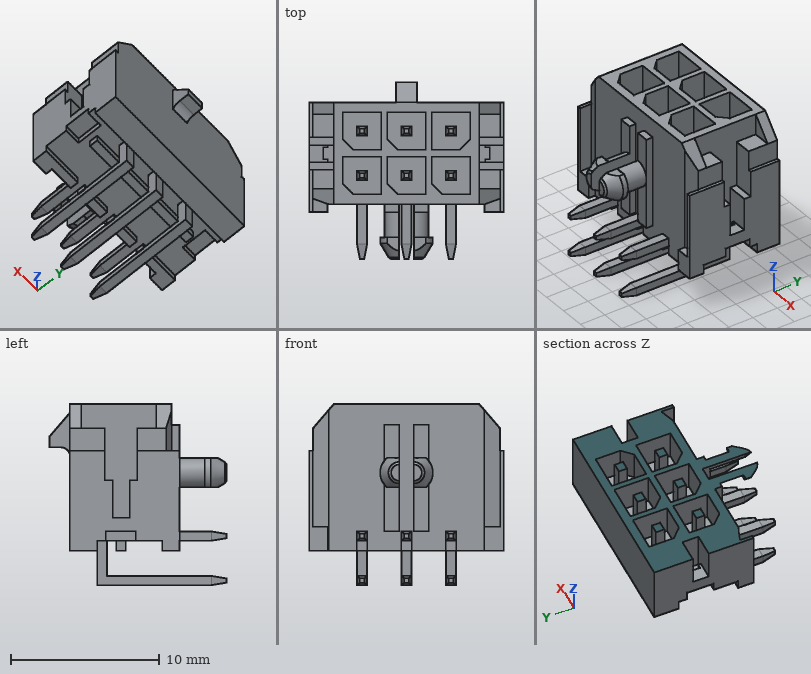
import cadquery as cq
import math


PITCH = 3.0
COLUMNS = (-PITCH, 0.0, PITCH)
ROWS = (PITCH / 2, -PITCH / 2)
PIN_WIDTH = 0.70
PIN_THICK = 0.64
TIP_LENGTH = 1.03
TIP_SIZE = 0.30
TAIL_END_Y = -7.14
LOWER_TAIL_Z = -2.32
LEG_BACK_Y = 1.60
LEG_DEPTH = 0.69
CONTACT_TOP_Z = 7.90

CORE_HALF_WIDTH = 4.90
HOUSING_HALF_DEPTH = 3.44
HOUSING_HEIGHT = 9.92
WING_HALF_WIDTH = 6.31
WING_HEIGHT = 8.28
BACK_GUSSET_DEPTH = 0.79
FRONT_GUSSET_DEPTH = 1.05
WING_BEVEL_X = 1.05
WING_BEVEL_Y = 0.38
CHANNEL_HEIGHT = 0.68
CHANNEL_BACK_Y = LEG_BACK_Y
CHANNEL_FRONT_Y = -2.80

PLATE_HALF_WIDTH = 13.15 / 2
PLATE_HEIGHT = 6.77
PLATE_FRONT_Y = -3.97
FOOT_HEIGHT = 1.64
FOOT_INNER_LEFT = -5.32
FOOT_INNER_RIGHT = WING_HALF_WIDTH - WING_BEVEL_X

SLOT_BACK_Y = 1.07
SLOT_FRONT_Y = -1.10
SLOT_FLOOR_Z = 4.76
NARROW_BACK_Y = 0.545
NARROW_FRONT_Y = -0.61
NARROW_FLOOR_Z = 2.24
NAIL_SHOULDER_X = 5.32
NAIL_HEAD_X = 5.63
NAIL_HEAD_HALF = 0.40
NAIL_DEPTH = 0.50
NOTCH_HALF_DEPTH = 1.0
NOTCH_TOP_Z = 1.31

CAVITY_WIDTH = 2.58
CAVITY_DEPTH = 2.52
CAVITY_CHAMFER = 0.70
CAVITY_FLOOR_Z = NARROW_FLOOR_Z

STANDOFF_BACK_Y = 0.31
STANDOFF_FRONT_Y = -0.34

LATCH_WIDTH = 1.43
LATCH_END_Y = 4.81
LATCH_RAMP_TOP_Z = 9.31
LATCH_NOSE_TOP_Z = 7.72
LATCH_NOSE_BOTTOM_Z = 6.98
LATCH_FILLET_START_Y = 4.06
LATCH_ROOT_Z = 6.55

SPLIT_HALF = 0.49
PEG_RADIUS = 1.0
RIB_WIDTH = PEG_RADIUS
RIB_FRONT_Y = PLATE_FRONT_Y
RIB_BOTTOM_Z = 1.32
RIB_TOP_Z = 8.51
PEG_Z = 5.28
PEG_HEAD_RADIUS = 1.29
PEG_HEAD_Y = -5.68
PEG_CONE_Y = -6.08
PEG_NOSE_Y = -7.01
PEG_NOSE_RADIUS = 0.73
PEG_FACE_RADIUS = 0.55


def block(x0, x1, y0, y1, z0, z1):
    """Axis-aligned box between the given limits."""
    return cq.Workplane("XY").box(x1 - x0, y1 - y0, z1 - z0, centered=False).translate((x0, y0, z0))


def both_sides(shape):
    """The shape together with its mirror image across the YZ plane."""
    return shape.union(shape.mirror("YZ"))


def gusset(y_front, y_back):
    """Slab as wide as the wings, sloping up to the top of the core."""
    half_outline = [
        (0, 0),
        (WING_HALF_WIDTH, 0),
        (WING_HALF_WIDTH, WING_HEIGHT),
        (CORE_HALF_WIDTH, HOUSING_HEIGHT),
        (0, HOUSING_HEIGHT),
    ]
    slab = cq.Workplane("XZ", origin=(0, y_back, 0)).polyline(half_outline).close().extrude(y_back - y_front)
    return both_sides(slab)


def wing_bevel():
    """Wedge removed from the front vertical corner of the right wing."""
    corner = [
        (WING_HALF_WIDTH, -HOUSING_HALF_DEPTH),
        (WING_HALF_WIDTH, -HOUSING_HALF_DEPTH + WING_BEVEL_Y),
        (WING_HALF_WIDTH - WING_BEVEL_X, -HOUSING_HALF_DEPTH),
    ]
    return cq.Workplane("XY").polyline(corner).close().extrude(HOUSING_HEIGHT)


def side_slot():
    """Stepped slot, blind nail pocket in its floor and bottom notch of the right side."""
    wide = block(CORE_HALF_WIDTH, PLATE_HALF_WIDTH, SLOT_FRONT_Y, SLOT_BACK_Y, SLOT_FLOOR_Z, HOUSING_HEIGHT)
    narrow = block(
        CORE_HALF_WIDTH, PLATE_HALF_WIDTH, NARROW_FRONT_Y, NARROW_BACK_Y, NARROW_FLOOR_Z, SLOT_FLOOR_Z
    )
    pocket_floor_z = NARROW_FLOOR_Z - NAIL_DEPTH
    nail_body = block(
        CORE_HALF_WIDTH, NAIL_SHOULDER_X, NARROW_FRONT_Y, NARROW_BACK_Y, pocket_floor_z, NARROW_FLOOR_Z
    )
    nail_head = block(
        NAIL_SHOULDER_X, NAIL_HEAD_X, -NAIL_HEAD_HALF, NAIL_HEAD_HALF, pocket_floor_z, NARROW_FLOOR_Z
    )
    notch = block(
        NAIL_SHOULDER_X, PLATE_HALF_WIDTH, -NOTCH_HALF_DEPTH, NOTCH_HALF_DEPTH, CHANNEL_HEIGHT, NOTCH_TOP_Z
    )
    return wide.union(narrow).union(nail_body).union(nail_head).union(notch)


def cavity(x, y, chamfer_side):
    """Contact cavity with one front corner cut off, on the -X (-1) or +X (+1) side."""
    corner_side = "<X" if chamfer_side < 0 else ">X"
    depth = HOUSING_HEIGHT - CAVITY_FLOOR_Z
    return (
        cq.Workplane("XY", origin=(x, y, CAVITY_FLOOR_Z))
        .rect(CAVITY_WIDTH, CAVITY_DEPTH)
        .extrude(depth)
        .edges("|Z")
        .edges("<Y")
        .edges(corner_side)
        .chamfer(CAVITY_CHAMFER)
    )


def housing():
    """Moulded body without latch, ribs and peg."""
    depth = HOUSING_HALF_DEPTH
    body = block(-CORE_HALF_WIDTH, CORE_HALF_WIDTH, -depth, depth, 0, HOUSING_HEIGHT)
    body = body.union(block(-WING_HALF_WIDTH, WING_HALF_WIDTH, -depth, depth, 0, WING_HEIGHT))
    body = body.union(gusset(depth - BACK_GUSSET_DEPTH, depth))
    body = body.union(gusset(-depth, -depth + FRONT_GUSSET_DEPTH))
    body = body.cut(both_sides(wing_bevel()))

    plate = block(WING_HALF_WIDTH, PLATE_HALF_WIDTH, PLATE_FRONT_Y, depth, 0, PLATE_HEIGHT)
    foot_back_y = -depth + WING_BEVEL_Y
    right_foot = block(FOOT_INNER_RIGHT, PLATE_HALF_WIDTH, PLATE_FRONT_Y, foot_back_y, 0, FOOT_HEIGHT)
    left_foot = block(-PLATE_HALF_WIDTH, FOOT_INNER_LEFT, PLATE_FRONT_Y, foot_back_y, 0, FOOT_HEIGHT)
    body = body.union(both_sides(plate)).union(right_foot).union(left_foot)

    channel = block(
        -PLATE_HALF_WIDTH, PLATE_HALF_WIDTH, CHANNEL_FRONT_Y, CHANNEL_BACK_Y, 0, CHANNEL_HEIGHT
    )
    body = body.cut(channel).cut(both_sides(side_slot()))
    standoff = block(
        -CORE_HALF_WIDTH, CORE_HALF_WIDTH, STANDOFF_FRONT_Y, STANDOFF_BACK_Y, 0, CHANNEL_HEIGHT
    )
    body = body.union(standoff)

    for x in COLUMNS:
        tail_slot = block(x - PIN_WIDTH / 2, x + PIN_WIDTH / 2, -depth, CHANNEL_FRONT_Y, 0, CHANNEL_HEIGHT)
        body = body.cut(tail_slot)
        for y in ROWS:
            is_back_right = x == COLUMNS[-1] and y == ROWS[0]
            body = body.cut(cavity(x, y, 1 if is_back_right else -1))
    return body


def latch():
    """Ramped catch with a filleted root under its nose."""
    wall_y = HOUSING_HALF_DEPTH
    run = LATCH_FILLET_START_Y - wall_y
    drop = LATCH_NOSE_BOTTOM_Z - LATCH_ROOT_Z
    radius = (run**2 + drop**2) / (2 * drop)
    half_angle = math.asin(run / radius) / 2
    arc_middle = (
        LATCH_FILLET_START_Y - radius * math.sin(half_angle),
        LATCH_NOSE_BOTTOM_Z - radius * (1 - math.cos(half_angle)),
    )
    return (
        cq.Workplane("YZ")
        .moveTo(wall_y, LATCH_RAMP_TOP_Z)
        .lineTo(LATCH_END_Y, LATCH_NOSE_TOP_Z)
        .lineTo(LATCH_END_Y, LATCH_NOSE_BOTTOM_Z)
        .lineTo(LATCH_FILLET_START_Y, LATCH_NOSE_BOTTOM_Z)
        .threePointArc(arc_middle, (wall_y, LATCH_ROOT_Z))
        .close()
        .extrude(LATCH_WIDTH / 2, both=True)
    )


def rib_and_half_peg():
    """Right rib of the front face and the half of the snap peg standing on it."""
    rib = block(
        SPLIT_HALF, SPLIT_HALF + RIB_WIDTH, RIB_FRONT_Y, -HOUSING_HALF_DEPTH, RIB_BOTTOM_Z, RIB_TOP_Z
    )
    peg_profile = [
        (0, -HOUSING_HALF_DEPTH),
        (PEG_RADIUS, -HOUSING_HALF_DEPTH),
        (PEG_RADIUS, PEG_HEAD_Y),
        (PEG_HEAD_RADIUS, PEG_HEAD_Y),
        (PEG_HEAD_RADIUS, PEG_CONE_Y),
        (PEG_NOSE_RADIUS, PEG_NOSE_Y),
        (PEG_FACE_RADIUS, TAIL_END_Y),
        (0, TAIL_END_Y),
    ]
    peg = (
        cq.Workplane("XY", origin=(SPLIT_HALF, 0, PEG_Z))
        .polyline(peg_profile)
        .close()
        .revolve(360, (0, 0, 0), (0, 1, 0))
    )
    envelope = block(
        SPLIT_HALF,
        SPLIT_HALF + PEG_HEAD_RADIUS,
        TAIL_END_Y,
        -HOUSING_HALF_DEPTH,
        PEG_Z - PEG_RADIUS,
        PEG_Z + PEG_RADIUS,
    )
    return rib.union(peg.intersect(envelope))


def tip(workplane):
    """Tapered pin end growing along the normal of the workplane."""
    return (
        workplane.rect(PIN_WIDTH, PIN_THICK)
        .workplane(offset=TIP_LENGTH)
        .rect(TIP_SIZE, TIP_SIZE)
        .loft(combine=True)
    )


def tail(x, y_start, z_bottom):
    """Horizontal solder tail running towards -Y."""
    taper_y = TAIL_END_Y + TIP_LENGTH
    half = PIN_WIDTH / 2
    wire = block(x - half, x + half, taper_y, y_start, z_bottom, z_bottom + PIN_THICK)
    return wire.union(tip(cq.Workplane("XZ", origin=(x, taper_y, z_bottom + PIN_THICK / 2))))


def contact(x, y):
    """Vertical mating pin standing in a cavity."""
    half_width = PIN_WIDTH / 2
    half_thick = PIN_THICK / 2
    taper_z = CONTACT_TOP_Z - TIP_LENGTH
    wire = block(x - half_width, x + half_width, y - half_thick, y + half_thick, CHANNEL_HEIGHT, taper_z)
    return wire.union(tip(cq.Workplane("XY", origin=(x, y, taper_z))))


def pins(x):
    """Both pins of one column."""
    half = PIN_WIDTH / 2
    back_row, front_row = ROWS
    leg = block(
        x - half, x + half, LEG_BACK_Y - LEG_DEPTH, LEG_BACK_Y, LOWER_TAIL_Z, CHANNEL_HEIGHT + PIN_THICK
    )
    lower_pin = contact(x, back_row).union(leg).union(tail(x, LEG_BACK_Y, LOWER_TAIL_Z))
    upper_pin = contact(x, front_row).union(tail(x, front_row, CHANNEL_HEIGHT))
    return lower_pin, upper_pin


result = housing().union(latch()).union(both_sides(rib_and_half_peg()))
for column_x in COLUMNS:
    for pin in pins(column_x):
        result = result.union(pin)